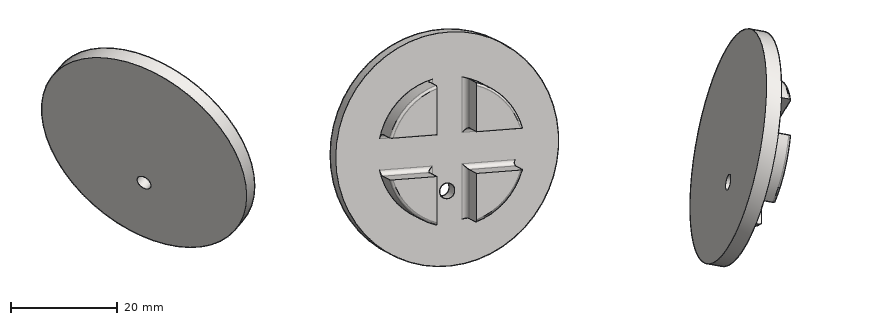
import cadquery as cq

plate_diameter = 45.0
plate_thickness = 3.0

boss_diameter = 28.0
boss_height = 5.0
boss_rim_round = 0.5
channel_width = 8.0
channel_floor_round = 1.0

hole_diameter = 3.0
hole_offset = 8.0


def disc(diameter, thickness, start_y):
    """Disc about the Y axis, growing toward +Y from start_y."""
    face = cq.Workplane("XZ", origin=(0, start_y, 0)).circle(diameter / 2)
    return face.extrude(-thickness)


def channel(axis):
    """Channel cutter along axis, with rounded edges along its floor."""
    length = plate_diameter
    size = (length, boss_height, channel_width) if axis == "X" else (channel_width, boss_height, length)
    centre_y = plate_thickness + boss_height / 2
    cutter = cq.Workplane("XY").box(*size).translate((0, centre_y, 0))
    return cutter.faces("<Y").edges("|" + axis).fillet(channel_floor_round)


plate = disc(plate_diameter, plate_thickness, 0)

boss = disc(boss_diameter, boss_height, plate_thickness)
boss = boss.faces(">Y").edges().fillet(boss_rim_round)
boss = boss.cut(channel("X")).cut(channel("Z"))

hole = disc(hole_diameter, plate_thickness, 0).translate((0, 0, -hole_offset))

result = plate.union(boss).cut(hole)